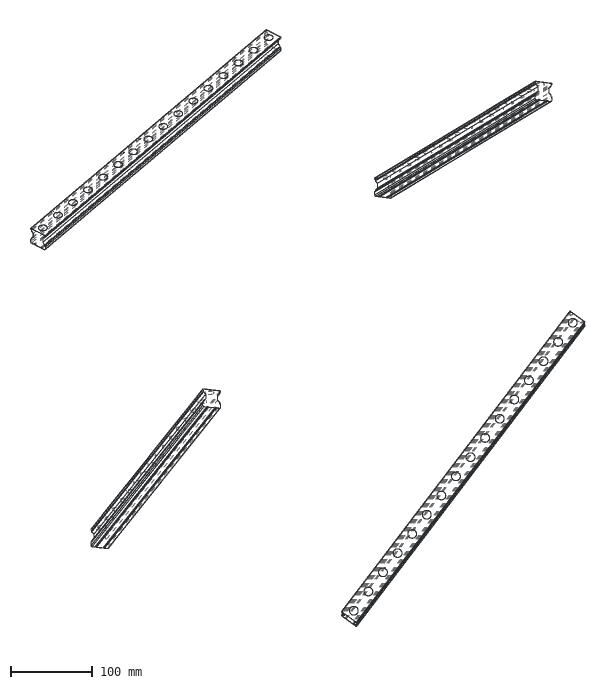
import cadquery as cq

length = 470.0
width = 23.0
height = 23.5

top_chamfer = 0.5
bottom_chamfer = 1.5
waist_half_width = 7.5
waist_bottom = 11.0
waist_top = 17.0

track_half_width = 10.5
track_rise = 3.0
step_height = 1.5

groove_offset = 5.0
groove_width = 1.5
groove_depth = 1.0

seat_count = 16
seat_diameter = 11.0
seat_depth = 0.25
seat_end_margin = 10.0
seat_pitch = (length - 2 * seat_end_margin) / (seat_count - 1)


def rail_body():
    """Extrude the symmetric rail section along Y, centred on the origin in X and Y."""
    half_width = width / 2
    base_track_bottom = waist_bottom - track_rise
    base_step_bottom = base_track_bottom - step_height
    head_track_top = waist_top + track_rise
    head_step_top = head_track_top + step_height
    bevel = half_width - track_half_width
    right_side = [
        (groove_offset - groove_width / 2, 0),
        (groove_offset - groove_width / 2, groove_depth),
        (groove_offset + groove_width / 2, groove_depth),
        (groove_offset + groove_width / 2, 0),
        (half_width - bottom_chamfer, 0),
        (half_width, bottom_chamfer),
        (half_width, base_step_bottom - bevel),
        (track_half_width, base_step_bottom),
        (track_half_width, base_track_bottom),
        (waist_half_width, waist_bottom),
        (waist_half_width, waist_top),
        (track_half_width, head_track_top),
        (track_half_width, head_step_top),
        (half_width, head_step_top + bevel),
        (half_width, height - top_chamfer),
        (half_width - top_chamfer, height),
    ]
    left_side = [(-x, z) for x, z in reversed(right_side)]
    section = cq.Workplane("XZ").polyline(right_side + left_side).close()
    return section.extrude(length / 2, both=True)


def top_seats():
    """Discs sunk into the top face, evenly spaced along the rail."""
    return (
        cq.Workplane("XY")
        .workplane(offset=height - seat_depth)
        .rarray(4.5, seat_pitch, 1, seat_count)
        .circle(seat_diameter / 2)
        .extrude(seat_depth)
    )


result = rail_body().cut(top_seats())